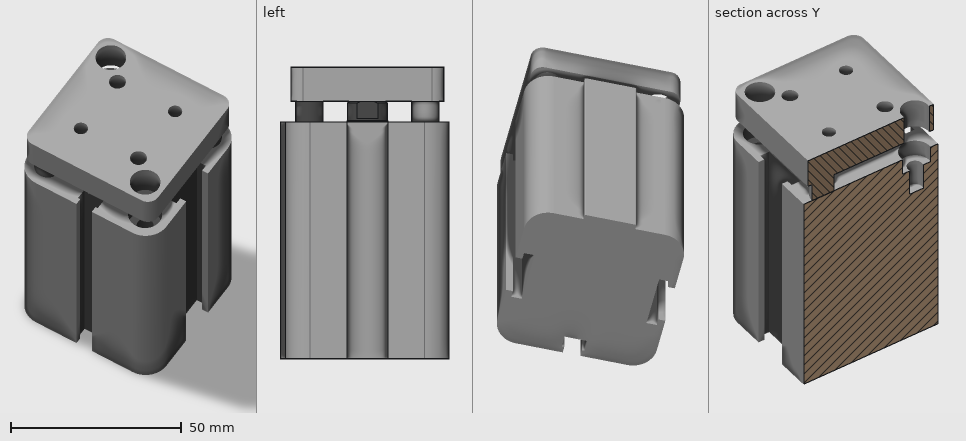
import cadquery as cq

HOUSING_WIDTH = 48.0
HOUSING_HEIGHT = 69.5
HOUSING_CORNER_RADIUS = 7.2
HALF_WIDTH = HOUSING_WIDTH / 2

RIB_WIDTH = 15.6
RIB_HEIGHT = 1.5
RIB_EDGE_RADIUS = 0.3

SLOT_LIP = 2.05
SIDE_MOUTH_WIDTH = 12.0
SIDE_CHANNEL_WIDTH = 16.1
SIDE_SLOT_DEPTH = 5.2
FRONT_MOUTH_WIDTH = 5.3
FRONT_CHANNEL_WIDTH = 6.8
FRONT_SLOT_DEPTH = 5.65

SCREW_OFFSET = 16.3
SCREW_HOLE_DIAMETER = 5.0
SCREW_HEAD_DIAMETER = 10.0
SCREW_HEAD_DEPTH = 5.6
SCREW_HOLE_DEPTH = 14.5
SCREW_POINTS = [(-SCREW_OFFSET, SCREW_OFFSET), (SCREW_OFFSET, -SCREW_OFFSET)]

PISTON_DIAMETER = 11.7
COLLAR_DIAMETER = 12.0
COLLAR_HEIGHT = 0.3

OVERALL_HEIGHT = 85.5
PLATE_WIDTH = 44.9
PLATE_THICKNESS = 10.0
PLATE_CORNER_RADIUS = 3.5
PLATE_BOTTOM = OVERALL_HEIGHT - PLATE_THICKNESS
ACCESS_HOLE_DIAMETER = 9.0

FIXING_OFFSET = 10.0
DOWEL_HOLE_DIAMETER = 5.0
THREAD_HOLE_DIAMETER = 4.2
DOWEL_POINTS = [(-FIXING_OFFSET, FIXING_OFFSET), (FIXING_OFFSET, -FIXING_OFFSET)]
THREAD_POINTS = [(-FIXING_OFFSET, -FIXING_OFFSET), (FIXING_OFFSET, FIXING_OFFSET)]

GUIDE_DIAMETER = 8.0
GUIDE_OFFSET = 17.0
GUIDE_POINTS = [(-GUIDE_OFFSET, -GUIDE_OFFSET), (GUIDE_OFFSET, GUIDE_OFFSET)]
PISTON_ACROSS_FLATS = 10.0
PISTON_CHAMFER = 0.5
FLATS_RISE = 0.9


def cylinder(diameter, bottom, top):
    return cq.Workplane("XY").workplane(offset=bottom).circle(diameter / 2).extrude(top - bottom)


def rounded_block(width, height, corner_radius):
    return cq.Workplane("XY").rect(width, width).extrude(height).edges("|Z").fillet(corner_radius)


def t_slot(mouth_width, channel_width, depth):
    """Full-height T-slot cutter opening on the -Y face of the housing."""
    face = -HALF_WIDTH
    lip_back = face + SLOT_LIP
    floor = face + depth
    mouth = mouth_width / 2
    channel = channel_width / 2
    outline = [
        (-mouth, face),
        (-mouth, lip_back),
        (-channel, lip_back),
        (-channel, floor),
        (channel, floor),
        (channel, lip_back),
        (mouth, lip_back),
        (mouth, face),
    ]
    return cq.Workplane("XY").polyline(outline).close().extrude(HOUSING_HEIGHT)


def make_rib():
    rib = cq.Workplane("XY").rect(RIB_WIDTH, 2 * RIB_HEIGHT).extrude(HOUSING_HEIGHT)
    rib = rib.edges("|Z and >Y").fillet(RIB_EDGE_RADIUS)
    return rib.translate((0, HALF_WIDTH, 0))


def make_collar():
    taper = (COLLAR_DIAMETER - PISTON_DIAMETER) / 2
    collar = cylinder(COLLAR_DIAMETER, HOUSING_HEIGHT - COLLAR_HEIGHT, HOUSING_HEIGHT + COLLAR_HEIGHT)
    return collar.faces(">Z").chamfer(taper)


def make_housing():
    body = rounded_block(HOUSING_WIDTH, HOUSING_HEIGHT, HOUSING_CORNER_RADIUS)
    body = body.union(make_rib())

    body = body.cut(t_slot(FRONT_MOUTH_WIDTH, FRONT_CHANNEL_WIDTH, FRONT_SLOT_DEPTH))
    side_slot = t_slot(SIDE_MOUTH_WIDTH, SIDE_CHANNEL_WIDTH, SIDE_SLOT_DEPTH)
    for angle in (-90, 90):
        body = body.cut(side_slot.rotate((0, 0, 0), (0, 0, 1), angle))

    body = (
        body.faces(">Z").workplane(origin=(0, 0, HOUSING_HEIGHT))
        .pushPoints(SCREW_POINTS)
        .cboreHole(SCREW_HOLE_DIAMETER, SCREW_HEAD_DIAMETER, SCREW_HEAD_DEPTH, SCREW_HOLE_DEPTH)
    )
    return body.union(make_collar())


def make_piston_rod():
    """Piston rod with two flats facing -X and +X and a chamfer under the plate."""
    bottom = HOUSING_HEIGHT + COLLAR_HEIGHT
    rod = cylinder(PISTON_DIAMETER, bottom, PLATE_BOTTOM).faces(">Z").chamfer(PISTON_CHAMFER)
    flats_bottom = HOUSING_HEIGHT + FLATS_RISE
    round_foot = cylinder(PISTON_DIAMETER, bottom, flats_bottom)
    flat_stem = (
        cq.Workplane("XY").workplane(offset=bottom)
        .rect(PISTON_ACROSS_FLATS, PISTON_DIAMETER)
        .extrude(PLATE_BOTTOM - bottom)
    )
    return rod.intersect(flat_stem).union(round_foot)


def make_moving_plate():
    plate = rounded_block(PLATE_WIDTH, PLATE_THICKNESS, PLATE_CORNER_RADIUS)
    plate = plate.translate((0, 0, PLATE_BOTTOM))

    hole_groups = [
        (ACCESS_HOLE_DIAMETER, SCREW_POINTS),
        (DOWEL_HOLE_DIAMETER, DOWEL_POINTS),
        (THREAD_HOLE_DIAMETER, THREAD_POINTS),
    ]
    for diameter, points in hole_groups:
        for x, y in points:
            plate = plate.cut(cylinder(diameter, PLATE_BOTTOM, OVERALL_HEIGHT).translate((x, y, 0)))

    for x, y in GUIDE_POINTS:
        plate = plate.union(cylinder(GUIDE_DIAMETER, HOUSING_HEIGHT, PLATE_BOTTOM).translate((x, y, 0)))
    return plate.union(make_piston_rod())


housing = make_housing()
moving_plate = make_moving_plate()

result = cq.Compound.makeCompound([housing.val(), moving_plate.val()])